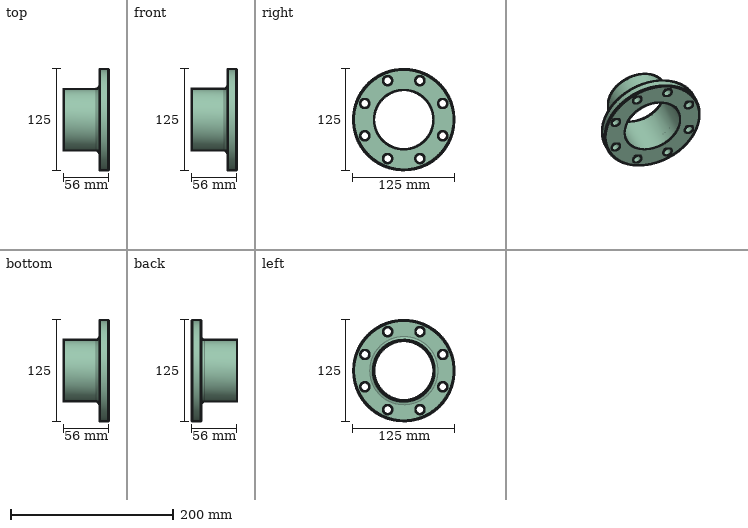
import cadquery as cq

total_length = 56.0

flange_diameter = 125.0
flange_thickness = 12.0
rim_chamfer = 1.0

pipe_outer_diameter = 76.2
pipe_bore_diameter = 72.9
neck_fillet_radius = 4.0

bolt_count = 8
bolt_hole_diameter = 11.0
bolt_circle_diameter = 104.0
bolt_spacing_angle = 360.0 / bolt_count
first_bolt_angle = bolt_spacing_angle / 2

pipe_length = total_length - flange_thickness


def make_bore():
    """Straight bore through the full length."""
    return cq.Workplane("YZ").circle(pipe_bore_diameter / 2).extrude(total_length)


def make_flanged_body():
    """Revolve the outer outline: pipe stub, neck fillet and chamfered flange rim."""
    pipe_radius = pipe_outer_diameter / 2
    flange_radius = flange_diameter / 2
    fillet_start_x = pipe_length - neck_fillet_radius
    return (
        cq.Workplane("XY")
        .lineTo(0, pipe_radius)
        .lineTo(fillet_start_x, pipe_radius)
        .radiusArc((pipe_length, pipe_radius + neck_fillet_radius), -neck_fillet_radius)
        .lineTo(pipe_length, flange_radius - rim_chamfer)
        .lineTo(pipe_length + rim_chamfer, flange_radius)
        .lineTo(total_length - rim_chamfer, flange_radius)
        .lineTo(total_length, flange_radius - rim_chamfer)
        .lineTo(total_length, 0)
        .close()
        .revolve(360, (0, 0, 0), (1, 0, 0))
    )


def make_bolt_holes():
    """Through holes equally spaced on the bolt circle."""
    return (
        cq.Workplane("YZ", origin=(pipe_length, 0, 0))
        .polarArray(bolt_circle_diameter / 2, first_bolt_angle, 360, bolt_count)
        .circle(bolt_hole_diameter / 2)
        .extrude(flange_thickness)
    )


result = make_flanged_body().cut(make_bore()).cut(make_bolt_holes())